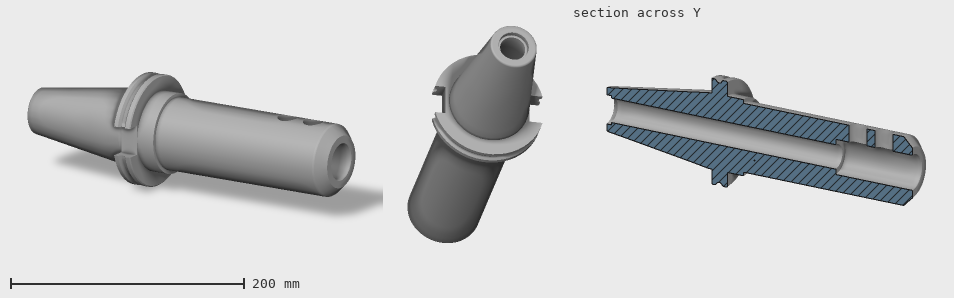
import cadquery as cq

total_length = 304.8
taper_end = 101.8
flange_start = 105.0
flange_end = 120.7
collar_end = 137.0

taper_small_diameter = 40.2
taper_large_diameter = 69.8
flange_diameter = 97.2
collar_diameter = 70.0
shank_diameter = 63.5

taper_tip_fillet = 1.8
flange_edge_chamfer = 1.0
nose_chamfer = 8.8
nose_fillet = 2.5

groove_center = 112.2
groove_top_width = 7.3
groove_floor_width = 3.0
groove_depth = 2.7

slot_width = 25.5
slot_floor_front = 35.5
slot_floor_back = 37.8

through_diameter = 22.0
rear_bore_diameter = 26.2
rear_bore_depth = 5.0
rear_bore_chamfer = 0.3
tool_bore_diameter = 31.7
tool_bore_depth = 76.2
tool_bore_chamfer = 0.45

screw_diameter = 17.5
screw_positions = (250.5, 276.2)


def cylinder(start, end, diameter):
    """Cylinder on the X axis between two axial positions."""
    return cq.Workplane("YZ", origin=(start, 0, 0)).circle(diameter / 2).extrude(end - start)


def make_taper():
    profile = [
        (0, 0),
        (0, taper_small_diameter / 2),
        (taper_end, taper_large_diameter / 2),
        (taper_end, 0),
    ]
    cone = cq.Workplane("XY").polyline(profile).close().revolve(360, (0, 0), (1, 0))
    return cone.faces("<X").edges().fillet(taper_tip_fillet)


def make_groove():
    rim = flange_diameter / 2
    half_top = groove_top_width / 2
    half_floor = groove_floor_width / 2
    profile = [
        (groove_center - half_top, rim),
        (groove_center - half_floor, rim - groove_depth),
        (groove_center + half_floor, rim - groove_depth),
        (groove_center + half_top, rim),
    ]
    return cq.Workplane("XY").polyline(profile).close().revolve(360, (0, 0), (1, 0))


def make_slot(side, floor):
    """Drive slot cutter, with side -1 or +1 for the -Y or +Y side."""
    depth = flange_diameter / 2 - floor
    width = flange_end - flange_start
    middle = (flange_start + flange_end) / 2
    box = cq.Workplane("XY").box(width, depth, slot_width)
    return box.translate((middle, side * (floor + depth / 2), 0))


def make_flange():
    flange = cylinder(flange_start, flange_end, flange_diameter)
    flange = flange.faces(">X").edges().chamfer(flange_edge_chamfer)
    flange = flange.cut(make_groove())
    flange = flange.cut(make_slot(-1, slot_floor_front))
    return flange.cut(make_slot(1, slot_floor_back))


def make_shank():
    shank = cylinder(collar_end, total_length, shank_diameter)
    shank = shank.faces(">X").edges().chamfer(nose_chamfer)
    nose_base = total_length - nose_chamfer
    shoulder = cq.selectors.BoxSelector(
        (nose_base - nose_fillet, -shank_diameter, -shank_diameter),
        (nose_base + nose_fillet, shank_diameter, shank_diameter),
    )
    return shank.edges(shoulder).fillet(nose_fillet)


def make_bores():
    through = cylinder(0, total_length, through_diameter)
    rear = cylinder(0, rear_bore_depth, rear_bore_diameter)
    tool = cylinder(total_length - tool_bore_depth, total_length, tool_bore_diameter)
    return through.union(rear).union(tool)


def make_screw_holes():
    centers = [(x, 0) for x in screw_positions]
    return cq.Workplane("XY").pushPoints(centers).circle(screw_diameter / 2).extrude(shank_diameter)


body = make_taper()
body = body.union(cylinder(taper_end, flange_start, taper_large_diameter))
body = body.union(make_flange())
body = body.union(cylinder(flange_start, collar_end, collar_diameter))
body = body.union(make_shank())
body = body.cut(make_bores())

smallest_circle = cq.selectors.RadiusNthSelector(0)
body = body.faces("<X").edges(smallest_circle).chamfer(rear_bore_chamfer)
body = body.faces(">X").edges(smallest_circle).chamfer(tool_bore_chamfer)

result = body.cut(make_screw_holes())